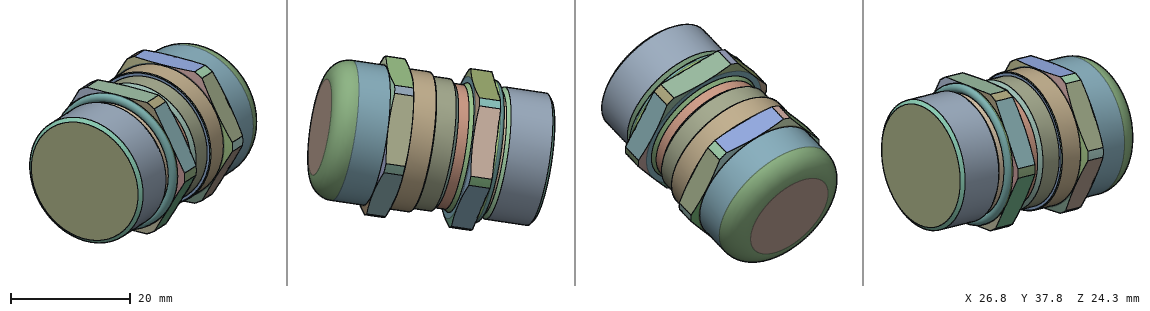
import cadquery as cq
import math

length = 37.8
thread_radius = 22.4 / 2
neck_radius = 21.05 / 2
cap_radius = 23.7 / 2
dome_radius = 3.75
cap_start = 20.65
cap_edge_chamfer = 0.15

end_chamfer_length = 0.53
thread_end = 7.7
groove_start = 8.3
neck_start = 14.8
neck_end = 16.55
collar_start = 17.15

across_flats = 24.0
corner_radius = 26.8 / 2
hex_width = 4.0
lower_hex_start = 10.05
upper_hex_start = 24.65
hex_chamfer_angle = 15.0
lower_hex_end = lower_hex_start + hex_width
shoulder_radius = 10.95

ring_outer_radius = 24.25 / 2
ring_section_radius = (ring_outer_radius - neck_radius) / 2
ring_center_radius = neck_radius + ring_section_radius
ring_front = 8.92


def revolve_about_y(profile):
    return profile.close().revolve(360, (0, 0, 0), (0, 1, 0))


def make_body():
    arc_offset = dome_radius * math.sqrt(0.5)
    profile = (
        cq.Workplane("XY")
        .lineTo(neck_radius, 0)
        .lineTo(thread_radius, end_chamfer_length)
        .lineTo(thread_radius, thread_end)
        .lineTo(neck_radius, groove_start)
        .lineTo(neck_radius, lower_hex_end)
        .lineTo(shoulder_radius, lower_hex_end)
        .lineTo(neck_radius, neck_start)
        .lineTo(neck_radius, neck_end)
        .lineTo(thread_radius, collar_start)
        .lineTo(thread_radius, cap_start)
        .lineTo(cap_radius - cap_edge_chamfer, cap_start)
        .lineTo(cap_radius, cap_start + cap_edge_chamfer)
        .lineTo(cap_radius, length - dome_radius)
        .threePointArc(
            (cap_radius - dome_radius + arc_offset, length - dome_radius + arc_offset),
            (cap_radius - dome_radius, length),
        )
        .lineTo(0, length)
    )
    return revolve_about_y(profile)


def make_hex(start, chamfer_front):
    """Hexagon with flats facing +Z and -Z; the front face chamfer is optional."""
    end = start + hex_width
    flat_radius = across_flats / 2
    drop = (corner_radius - flat_radius) * math.tan(math.radians(hex_chamfer_angle))
    prism = (
        cq.Workplane("XZ", origin=(0, start, 0))
        .polygon(6, across_flats / math.cos(math.pi / 6))
        .extrude(-hex_width)
    )
    envelope = cq.Workplane("XY").moveTo(0, start)
    if chamfer_front:
        envelope = envelope.lineTo(flat_radius, start).lineTo(corner_radius, start + drop)
    else:
        envelope = envelope.lineTo(corner_radius, start)
    envelope = envelope.lineTo(corner_radius, end - drop).lineTo(flat_radius, end).lineTo(0, end)
    return prism.intersect(revolve_about_y(envelope))


def make_ring():
    return (
        cq.Workplane("XY")
        .center(ring_center_radius, ring_front + ring_section_radius)
        .circle(ring_section_radius)
        .revolve(360, (-ring_center_radius, 0, 0), (-ring_center_radius, 1, 0))
    )


result = (
    make_body()
    .union(make_hex(upper_hex_start, chamfer_front=True))
    .union(make_hex(lower_hex_start, chamfer_front=False))
    .union(make_ring())
)